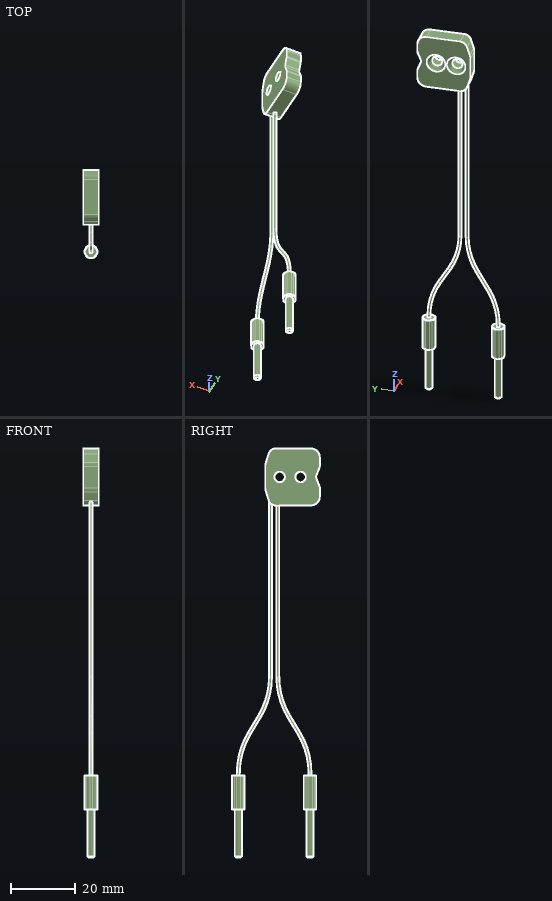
import cadquery as cq
import math

TOTAL_HEIGHT = 127.9

BLOCK_THICKNESS = 5.0
BLOCK_HEIGHT = 17.9
BLOCK_BACK_Y = 14.3
BLOCK_FRONT_Y = -2.8
BACK_CORNER_RADIUS = 3.0
FRONT_CORNER_RADIUS = 2.4
BULGE_HALF_HEIGHT = 4.0
BULGE_SLOPE = 0.32
BULGE_RADIUS = 4.0
NOTCH_HALF_HEIGHT = 3.2
NOTCH_DEPTH = 1.3
NOTCH_RADIUS = 1.3

HOLE_SPACING = 6.5
HOLE_CENTRE_Y = 5.0
HOLE_DIAMETER = 3.2
SINK_DIAMETER = 6.0
SINK_ANGLE = 90.0

WIRE_DIAMETER = 1.0
WIRE_SPACING = 2.3
WIRE_EMBED = 2.5
BEND_TOP_Z = 56.5
BEND_BOTTOM_Z = 26.5
BEND_RADIUS = 24.0

PLUG_SPACING = 22.4
PIN_LENGTH = 15.0
PIN_DIAMETER = 2.3
PIN_CHAMFER = 0.5
SLEEVE_LENGTH = 10.7
SLEEVE_SIDES = 6
SLEEVE_ACROSS_FLATS = 4.0
SLEEVE_EDGE_RADIUS = 1.3
SLEEVE_END_CHAMFER = 0.1
JOINT_OVERLAP = 1.3

block_bottom_z = TOTAL_HEIGHT - BLOCK_HEIGHT
block_mid_z = TOTAL_HEIGHT - BLOCK_HEIGHT / 2


def round_edges(body, points, radius):
    """Fillet the X-parallel edges at the given (y, z) points and their mirror images below mid height."""
    for y, z in points:
        for mirror in (1, -1):
            edge_point = (0, y, block_mid_z + mirror * z)
            body = body.edges(cq.NearestToPointSelector(edge_point)).fillet(radius)
    return body


def make_block():
    """Plate with rounded corners, a tapered front bulge and a rounded V notch in the back."""
    half_height = BLOCK_HEIGHT / 2
    setback = (half_height - BULGE_HALF_HEIGHT) * BULGE_SLOPE
    notch_mouth = (BLOCK_BACK_Y, NOTCH_HALF_HEIGHT)
    back_corner = (BLOCK_BACK_Y, half_height)
    front_corner = (BLOCK_FRONT_Y + setback, half_height)
    bulge_corner = (BLOCK_FRONT_Y, BULGE_HALF_HEIGHT)
    upper = [notch_mouth, back_corner, front_corner, bulge_corner]
    lower = [(y, -z) for y, z in reversed(upper)]
    notch_tip = (BLOCK_BACK_Y - NOTCH_DEPTH, 0)

    block = (
        cq.Workplane("YZ", origin=(0, 0, block_mid_z))
        .polyline(upper + lower + [notch_tip])
        .close()
        .extrude(BLOCK_THICKNESS / 2, both=True)
    )

    block = round_edges(block, [back_corner], BACK_CORNER_RADIUS)
    block = round_edges(block, [front_corner], FRONT_CORNER_RADIUS)
    block = round_edges(block, [bulge_corner], BULGE_RADIUS)
    block = round_edges(block, [notch_mouth], NOTCH_RADIUS)
    tip_edge = cq.NearestToPointSelector((0, notch_tip[0], block_mid_z))
    return block.edges(tip_edge).fillet(NOTCH_RADIUS)


def drill_block(block):
    """Pair of through holes, countersunk from the -X face."""
    return (
        block.faces("<X")
        .workplane(origin=(0, HOLE_CENTRE_Y, block_mid_z))
        .pushPoints([(-HOLE_SPACING / 2, 0), (HOLE_SPACING / 2, 0)])
        .cskHole(HOLE_DIAMETER, SINK_DIAMETER, SINK_ANGLE)
    )


def make_wire(side):
    """Lead that drops straight, then swings outward in an S of arc, straight and arc."""
    start_y = WIRE_SPACING / 2
    end_y = PLUG_SPACING / 2
    shift = end_y - start_y
    drop = BEND_TOP_Z - BEND_BOTTOM_Z
    slant_length = math.sqrt(shift**2 + drop**2 - 4 * BEND_RADIUS * shift)
    bend_angle = math.atan2(drop, 2 * BEND_RADIUS - shift) - math.atan2(slant_length, 2 * BEND_RADIUS)

    def arc_offset(angle):
        return BEND_RADIUS * (1 - math.cos(angle)), BEND_RADIUS * math.sin(angle)

    def upper_arc(angle):
        dy, dz = arc_offset(angle)
        return side * (start_y + dy), BEND_TOP_Z - dz

    def lower_arc(angle):
        dy, dz = arc_offset(angle)
        return side * (end_y - dy), BEND_BOTTOM_Z + dz

    top_z = block_bottom_z + WIRE_EMBED
    path = (
        cq.Workplane("YZ")
        .moveTo(side * start_y, top_z)
        .lineTo(*upper_arc(0))
        .threePointArc(upper_arc(bend_angle / 2), upper_arc(bend_angle))
        .lineTo(*lower_arc(bend_angle))
        .threePointArc(lower_arc(bend_angle / 2), lower_arc(0))
        .lineTo(side * end_y, PIN_LENGTH + SLEEVE_LENGTH - JOINT_OVERLAP)
    )
    section = cq.Workplane("XY", origin=(0, side * start_y, top_z)).circle(WIRE_DIAMETER / 2)
    return section.sweep(path)


def make_plug(side):
    """Round pin with a chamfered tip, below a hexagonal sleeve with rounded edges and chamfered ends."""
    plug_y = side * PLUG_SPACING / 2
    across_corners = SLEEVE_ACROSS_FLATS / math.cos(math.pi / SLEEVE_SIDES)
    pin = (
        cq.Workplane("XY", origin=(0, plug_y, 0))
        .circle(PIN_DIAMETER / 2)
        .extrude(PIN_LENGTH + JOINT_OVERLAP)
        .faces("<Z")
        .chamfer(PIN_CHAMFER)
    )
    sleeve = (
        cq.Workplane("XY", origin=(0, plug_y, PIN_LENGTH))
        .polygon(SLEEVE_SIDES, across_corners)
        .extrude(SLEEVE_LENGTH)
        .edges("|Z")
        .fillet(SLEEVE_EDGE_RADIUS)
        .faces("<Z or >Z")
        .chamfer(SLEEVE_END_CHAMFER)
    )
    return sleeve.union(pin)


result = drill_block(make_block())
for side in (1, -1):
    result = result.union(make_wire(side)).union(make_plug(side))